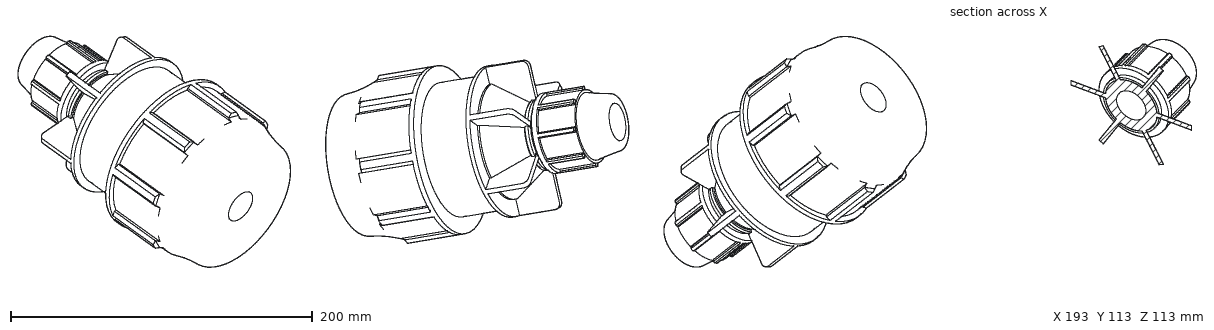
import cadquery as cq
import math

length = 193.0

small_nut_start = 19.3
small_grip_start = 20.0
small_flange_start = 46.5
small_flange_end = 50.2
small_flange_radius = 54.0 / 2
small_nut_radius = 24.7
small_nose_radius = 22.8
small_tip_radius = 19.5
small_tip_fillet = 2.9
small_nose_mid_x = 10.6
small_nose_mid_radius = 20.8

neck_radius = 43.2 / 2
neck_end = 53.5
groove_radius = 20.0
ring_start = 54.2
ring_end = 56.5
ring_radius = 24.1
cone_start = 57.7
cone_start_radius = 22.5
cone_end = 82.6
cone_end_radius = 39.4

disc_start = 84.0
disc_end = 86.8
disc_radius = 101.7 / 2
barrel_radius = 90.3 / 2

large_flange_start = 122.7
large_flange_end = 126.2
large_flange_radius = 113.0 / 2
large_grip_end = 164.5
large_nut_radius = 52.7
large_nose_start = 165.2
large_nose_radius = 53.8
large_tip_radius = 47.9
large_tip_fillet = 2.7
large_nose_mid_x = 178.5
large_nose_mid_radius = 49.6

grip_count = 8
small_grip_top_width = 2.3
small_grip_foot_width = 3.7
small_grip_foot_radius = 25.9
large_grip_top_width = 5.0
large_grip_foot_width = 9.6
grip_overlap = 2.0

web_count = 6
web_thickness = 3.9
web_corner_radius = 4.5

pipe_radius = 25.0 / 2
pipe_depth = 12.2
bore_radius = 11.2


def make_body():
    """Round sections from the small tip to the large flange, without ribs or bore."""
    round_shift = small_tip_fillet * (1 - math.sqrt(0.5))
    profile = (
        cq.Workplane("XY")
        .moveTo(0, 0)
        .lineTo(0, small_tip_radius - small_tip_fillet)
        .threePointArc(
            (round_shift, small_tip_radius - round_shift),
            (small_tip_fillet, small_tip_radius),
        )
        .threePointArc(
            (small_nose_mid_x, small_nose_mid_radius),
            (small_nut_start, small_nose_radius),
        )
        .lineTo(small_nut_start, small_nut_radius)
        .lineTo(small_flange_start, small_nut_radius)
        .lineTo(small_flange_start, small_flange_radius)
        .lineTo(small_flange_end, small_flange_radius)
        .lineTo(small_flange_end, neck_radius)
        .lineTo(neck_end, neck_radius)
        .lineTo(neck_end, groove_radius)
        .lineTo(ring_start, groove_radius)
        .lineTo(ring_start, ring_radius)
        .lineTo(ring_end, ring_radius)
        .lineTo(ring_end, cone_start_radius)
        .lineTo(cone_start, cone_start_radius)
        .lineTo(cone_end, cone_end_radius)
        .lineTo(disc_start, cone_end_radius)
        .lineTo(disc_start, disc_radius)
        .lineTo(disc_end, disc_radius)
        .lineTo(disc_end, barrel_radius)
        .lineTo(large_flange_start, barrel_radius)
        .lineTo(large_flange_start, large_flange_radius)
        .lineTo(large_flange_end, large_flange_radius)
        .lineTo(large_flange_end, 0)
        .close()
    )
    return profile.revolve(360, (0, 0, 0), (1, 0, 0))


def make_large_nut():
    """Large nut behind its flange, its cylinder and ribs both trimmed by the nose curve."""
    round_shift = large_tip_fillet * (1 - math.sqrt(0.5))
    envelope = (
        cq.Workplane("XY")
        .moveTo(large_flange_end, 0)
        .lineTo(large_flange_end, large_flange_radius)
        .lineTo(large_grip_end, large_flange_radius)
        .lineTo(large_nose_start, large_nose_radius)
        .threePointArc(
            (large_nose_mid_x, large_nose_mid_radius),
            (length - large_tip_fillet, large_tip_radius),
        )
        .threePointArc(
            (length - round_shift, large_tip_radius - round_shift),
            (length, large_tip_radius - large_tip_fillet),
        )
        .lineTo(length, 0)
        .close()
        .revolve(360, (0, 0, 0), (1, 0, 0))
    )
    cylinder = (
        cq.Workplane("YZ", origin=(large_flange_end, 0, 0))
        .circle(large_nut_radius)
        .extrude(length - large_flange_end)
    )
    grips = make_grips(
        large_flange_end, length, large_nut_radius, large_nose_radius, large_flange_radius,
        large_grip_foot_width, large_grip_top_width,
    )
    return cylinder.union(grips).intersect(envelope)


def around_axis(shape, count, first_angle):
    """Copies of a shape spread evenly about the X axis."""
    copies = cq.Workplane("XY")
    for index in range(count):
        angle = first_angle + index * 360 / count
        copies = copies.add(shape.rotate((0, 0, 0), (1, 0, 0), angle))
    return copies.combine()


def make_grips(start, end, nut_radius, foot_radius, top_radius, foot_width, top_width):
    """Ribs along a nut: straight foot, tapered top, half a pitch away from the Y and Z axes."""
    rib = (
        cq.Workplane("YZ", origin=(start, 0, 0))
        .polyline([
            (-foot_width / 2, nut_radius - grip_overlap),
            (-foot_width / 2, foot_radius),
            (-top_width / 2, top_radius),
            (top_width / 2, top_radius),
            (foot_width / 2, foot_radius),
            (foot_width / 2, nut_radius - grip_overlap),
        ])
        .close()
        .extrude(end - start)
    )
    rounded = rib.intersect(
        cq.Workplane("YZ", origin=(start, 0, 0)).circle(top_radius).extrude(end - start)
    )
    return around_axis(rounded, grip_count, 180 / grip_count)


def make_webs():
    """Flat radial webs in front of the disc, with a rounded outer corner."""
    web = (
        cq.Workplane("XY")
        .rect(disc_start - neck_end, disc_radius, centered=False)
        .extrude(web_thickness)
        .translate((neck_end, 0, -web_thickness / 2))
        .edges("|Z and <X and >Y")
        .fillet(web_corner_radius)
    )
    disc_cylinder = (
        cq.Workplane("YZ", origin=(neck_end, 0, 0))
        .circle(disc_radius)
        .extrude(disc_start - neck_end)
    )
    return around_axis(web.intersect(disc_cylinder), web_count, 0)


def make_bore():
    """Through bore with a wider pipe socket at the small end."""
    bore = cq.Workplane("YZ").circle(bore_radius).extrude(length)
    socket = cq.Workplane("YZ").circle(pipe_radius).extrude(pipe_depth)
    return bore.union(socket)


small_grips = make_grips(
    small_grip_start, small_flange_start, small_nut_radius, small_grip_foot_radius,
    small_flange_radius, small_grip_foot_width, small_grip_top_width,
)

result = (
    make_body()
    .union(make_large_nut())
    .union(small_grips)
    .union(make_webs())
    .cut(make_bore())
)